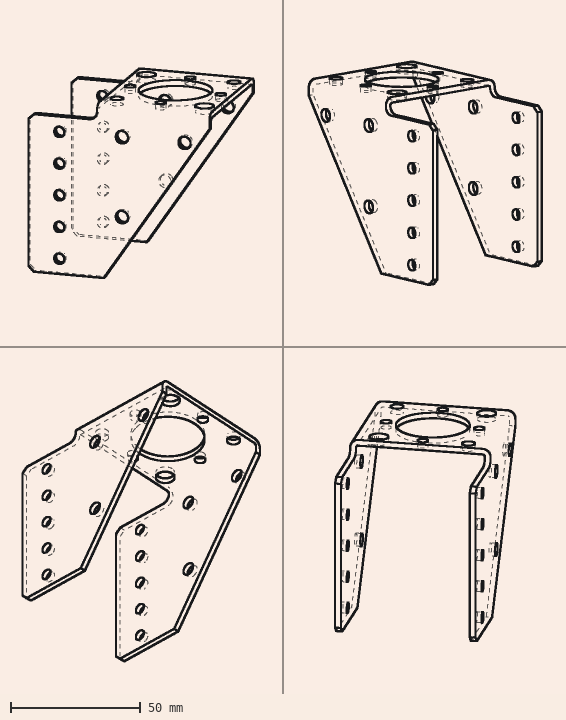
import cadquery as cq

LENGTH = 73.5
WIDTH = 55.5
HEIGHT = 69.7
SHEET = 2.35
BEND_INNER_RADIUS = 0.9
BEND_OUTER_RADIUS = BEND_INNER_RADIUS + SHEET

PLATE_START_X = 27.9
SHOULDER_DROP = 6.5
SHOULDER_Z = HEIGHT - SHOULDER_DROP
SHOULDER_RADIUS = SHOULDER_DROP - BEND_OUTER_RADIUS
CHAMFER = 2.3
TOP_CHAMFER_HEIGHT = 2.0
FOOT_LENGTH = 30.6
SLOPE_TOP_Z = HEIGHT - 6.25

SIDE_HOLE_DIAMETER = 4.1
SIDE_HOLE_PITCH = 12.7
SIDE_HOLE_COUNT = 5
SIDE_HOLE_X = 12.6
SIDE_HOLE_BOTTOM_Z = 6.2
MOUNT_HOLE_DIAMETER = 5.0
MOUNT_HOLE_X = SIDE_HOLE_X + 2 * SIDE_HOLE_PITCH
MOUNT_HOLE_Z = 57.2
MOUNT_HOLE_SPACING_X = 2 * SIDE_HOLE_PITCH
MOUNT_HOLE_SPACING_Z = 32.05

PLATE_CENTRE_X = (PLATE_START_X + LENGTH) / 2
BORE_DIAMETER = 28.5
SMALL_HOLE_DIAMETER = 4.1
SMALL_HOLE_OFFSET = 18.4
CORNER_HOLE_DIAMETER = 5.0
CORNER_HOLE_OFFSET = 17.95
LARGE_HOLE_DIAMETER = 7.3
LARGE_HOLE_OFFSET = 17.5


def bent_channel():
    """Inverted U of constant sheet thickness with rounded bends, running along X."""
    outer = (
        cq.Workplane("XY")
        .box(LENGTH, WIDTH, HEIGHT, centered=(False, True, False))
        .edges("|X and >Z")
        .fillet(BEND_OUTER_RADIUS)
    )
    inner = (
        cq.Workplane("XY")
        .box(LENGTH, WIDTH - 2 * SHEET, HEIGHT - SHEET, centered=(False, True, False))
        .edges("|X and >Z")
        .fillet(BEND_INNER_RADIUS)
    )
    return outer.cut(inner)


def side_profile():
    """Side outline of the bracket, extruded across its full width."""
    return (
        cq.Workplane("XZ")
        .moveTo(CHAMFER, 0)
        .lineTo(FOOT_LENGTH, 0)
        .lineTo(LENGTH, SLOPE_TOP_Z)
        .lineTo(LENGTH, HEIGHT)
        .lineTo(PLATE_START_X, HEIGHT)
        .lineTo(PLATE_START_X, SHOULDER_Z + SHOULDER_RADIUS)
        .radiusArc((PLATE_START_X - SHOULDER_RADIUS, SHOULDER_Z), SHOULDER_RADIUS)
        .lineTo(CHAMFER, SHOULDER_Z)
        .lineTo(0, SHOULDER_Z - TOP_CHAMFER_HEIGHT)
        .lineTo(0, CHAMFER)
        .close()
        .extrude(WIDTH / 2, both=True)
    )


def side_holes(points, diameter):
    """Cylinders along Y through both flanges at the given (x, z) points."""
    return cq.Workplane("XZ").pushPoints(points).circle(diameter / 2).extrude(WIDTH, both=True)


def plate_holes(offsets, diameter):
    """Cylinders along Z through the top plate at offsets from the plate centre."""
    return (
        cq.Workplane("XY", origin=(PLATE_CENTRE_X, 0, HEIGHT))
        .pushPoints(offsets)
        .circle(diameter / 2)
        .extrude(-2 * SHEET)
    )


side_row = [
    (SIDE_HOLE_X, SIDE_HOLE_BOTTOM_Z + i * SIDE_HOLE_PITCH)
    for i in range(SIDE_HOLE_COUNT)
]
mount_points = [
    (MOUNT_HOLE_X, MOUNT_HOLE_Z),
    (MOUNT_HOLE_X + MOUNT_HOLE_SPACING_X, MOUNT_HOLE_Z),
    (MOUNT_HOLE_X, MOUNT_HOLE_Z - MOUNT_HOLE_SPACING_Z),
]
small_offsets = [
    (SMALL_HOLE_OFFSET, 0),
    (-SMALL_HOLE_OFFSET, 0),
    (0, SMALL_HOLE_OFFSET),
    (0, -SMALL_HOLE_OFFSET),
]
corner_offsets = [(s * CORNER_HOLE_OFFSET, s * CORNER_HOLE_OFFSET) for s in (-1, 1)]
large_offsets = [(s * LARGE_HOLE_OFFSET, -s * LARGE_HOLE_OFFSET) for s in (-1, 1)]

result = (
    bent_channel()
    .intersect(side_profile())
    .cut(side_holes(side_row, SIDE_HOLE_DIAMETER))
    .cut(side_holes(mount_points, MOUNT_HOLE_DIAMETER))
    .cut(plate_holes([(0, 0)], BORE_DIAMETER))
    .cut(plate_holes(small_offsets, SMALL_HOLE_DIAMETER))
    .cut(plate_holes(corner_offsets, CORNER_HOLE_DIAMETER))
    .cut(plate_holes(large_offsets, LARGE_HOLE_DIAMETER))
)